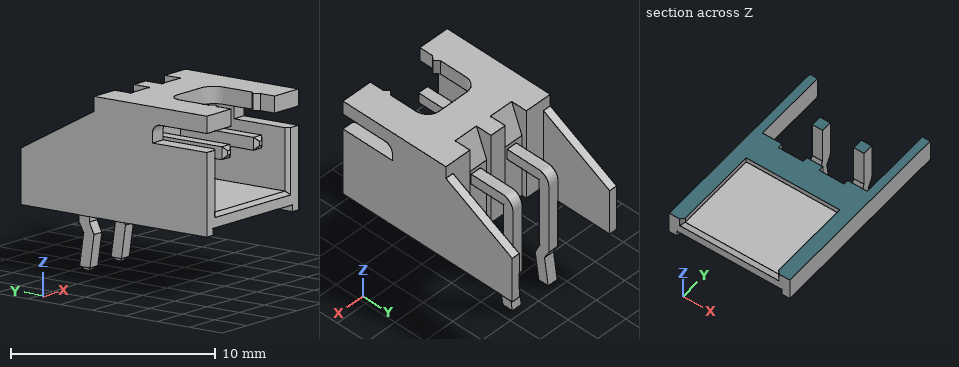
import cadquery as cq
import math


WIDTH = 7.4
HEIGHT = 6.1
BODY_DEPTH = 7.0
LOWER_BODY_DEPTH = 6.7
TOTAL_DEPTH = 11.5
FOOT_WIDTH = 0.5
FLOOR_Z = 0.35
WING_TOP_FRONT = 5.34
WING_TOP_BACK = 2.86

CAVITY_WIDTH = 5.7
CAVITY_FLOOR_Z = 1.08
CAVITY_ROOF_Z = 5.23
CAVITY_DEPTH = 5.18
LEAD_IN = 0.2

SLOT_DEPTH = 3.36
SLOT_BOTTOM_Z = 4.27
SLOT_RADIUS = 0.48

WINDOW_WIDTH = 3.5
WINDOW_DEPTH = 3.93
WINDOW_RADIUS = 0.8
NUB_Y = 1.14
NUB_HALF_LENGTH = 0.27
NUB_HEIGHT = 0.25

NOTCH_WIDTH = 1.5
NOTCH_PITCH = 2.5
NOTCH_FRONT_Y = 6.0
NOTCH_BACK_Z = 4.3

PIN_PITCH = 2.54
PIN_SIZE = 0.65
PIN_HALF = PIN_SIZE / 2
PIN_Z = 3.745
PIN_FRONT_Y = 0.49
PIN_BACK_Y = 9.53
BEND_RADIUS = 0.7
TIP_LENGTH = 0.2
TIP_SIZE = 0.23
KINK_START_BACK_Z = -0.96
KINK_START_FRONT_Z = -0.89
KINK_END_Z = -1.48
KINK_SHIFT = 0.29
LEG_END_Z = -3.2
LEG_END_SHIFT = 0.04


def block(x_range, y_range, z_range):
    """Axis-aligned box given by its limits."""
    lows = (x_range[0], y_range[0], z_range[0])
    sizes = [high - low for low, high in (x_range, y_range, z_range)]
    return cq.Workplane("XY").box(*sizes, centered=False).translate(lows)


def across(width):
    """Limits of a span of this width centred on X = 0."""
    return (-width / 2, width / 2)


def side_profile(points, width, center_x=0):
    """Extrude a closed (Y, Z) polygon along X."""
    sketch = cq.Workplane("YZ", origin=(center_x - width / 2, 0, 0)).polyline(points).close()
    return sketch.extrude(width)


def make_shell():
    outline = [
        (0, 0),
        (TOTAL_DEPTH, 0),
        (TOTAL_DEPTH, WING_TOP_BACK),
        (BODY_DEPTH, WING_TOP_FRONT),
        (BODY_DEPTH, HEIGHT),
        (0, HEIGHT),
    ]
    shell = side_profile(outline, WIDTH)
    between_feet = across(WIDTH - 2 * FOOT_WIDTH)
    shell = shell.cut(block(between_feet, (0, TOTAL_DEPTH), (0, FLOOR_Z)))
    return shell.cut(block(between_feet, (BODY_DEPTH, TOTAL_DEPTH), (0, HEIGHT)))


def make_cavity():
    """Mating cavity with a tapered lead-in on its sides and floor."""
    cavity = block(across(CAVITY_WIDTH), (0, CAVITY_DEPTH), (CAVITY_FLOOR_Z, CAVITY_ROOF_Z))
    middle_z = (CAVITY_FLOOR_Z + CAVITY_ROOF_Z) / 2
    cavity_height = CAVITY_ROOF_Z - CAVITY_FLOOR_Z
    flare = (
        cq.Workplane("XZ", origin=(0, 0, middle_z - LEAD_IN / 2))
        .rect(CAVITY_WIDTH + 2 * LEAD_IN, cavity_height + LEAD_IN)
        .workplane(offset=-LEAD_IN)
        .center(0, LEAD_IN / 2)
        .rect(CAVITY_WIDTH, cavity_height)
        .loft(ruled=True)
    )
    return cavity.union(flare)


def make_side_slots():
    slot = block(across(WIDTH), (0, SLOT_DEPTH), (SLOT_BOTTOM_Z, CAVITY_ROOF_Z))
    return slot.edges("|X and >Y and >Z").fillet(SLOT_RADIUS)


def make_window():
    """Opening in the roof with rounded rear corners and a pointed nub on each side."""
    window = block(across(WINDOW_WIDTH), (0, WINDOW_DEPTH), (CAVITY_ROOF_Z, HEIGHT))
    window = window.edges("|Z and >Y").fillet(WINDOW_RADIUS)
    for side in (-1, 1):
        edge_x = side * WINDOW_WIDTH / 2
        nub = (
            cq.Workplane("XY", origin=(0, 0, CAVITY_ROOF_Z))
            .moveTo(edge_x, NUB_Y - NUB_HALF_LENGTH)
            .lineTo(edge_x - side * NUB_HEIGHT, NUB_Y)
            .lineTo(edge_x, NUB_Y + NUB_HALF_LENGTH)
            .close()
            .extrude(HEIGHT - CAVITY_ROOF_Z)
        )
        window = window.cut(nub)
    return window


def make_notch(center_x):
    """Rear notch whose sloped front wall runs down to the rear of the lower body."""
    outline = [
        (NOTCH_FRONT_Y, HEIGHT),
        (LOWER_BODY_DEPTH, NOTCH_BACK_Z),
        (LOWER_BODY_DEPTH, FLOOR_Z),
        (BODY_DEPTH, FLOOR_Z),
        (BODY_DEPTH, HEIGHT),
    ]
    return side_profile(outline, NOTCH_WIDTH, center_x)


def taper(plane_name, origin, direction):
    """Pyramid tip that narrows from the pin section along the plane normal."""
    return (
        cq.Workplane(plane_name, origin=origin)
        .rect(PIN_SIZE, PIN_SIZE)
        .workplane(offset=direction * TIP_LENGTH)
        .rect(TIP_SIZE, TIP_SIZE)
        .loft(ruled=True)
    )


def make_pin(center_x):
    """Right-angle pin: contact, rounded bend and kinked solder leg."""
    leg_front = PIN_BACK_Y - PIN_SIZE
    shank_start = PIN_FRONT_Y + TIP_LENGTH
    top_z = PIN_Z + PIN_HALF
    arc_inset = BEND_RADIUS * (1 - math.sqrt(0.5))
    shape = (
        cq.Workplane("YZ", origin=(center_x - PIN_HALF, 0, 0))
        .moveTo(shank_start, PIN_Z - PIN_HALF)
        .lineTo(shank_start, top_z)
        .lineTo(PIN_BACK_Y - BEND_RADIUS, top_z)
        .threePointArc(
            (PIN_BACK_Y - arc_inset, top_z - arc_inset),
            (PIN_BACK_Y, top_z - BEND_RADIUS),
        )
        .lineTo(PIN_BACK_Y, KINK_START_BACK_Z)
        .lineTo(PIN_BACK_Y - KINK_SHIFT, KINK_END_Z)
        .lineTo(PIN_BACK_Y - LEG_END_SHIFT, LEG_END_Z)
        .lineTo(leg_front - LEG_END_SHIFT, LEG_END_Z)
        .lineTo(leg_front - KINK_SHIFT, KINK_END_Z)
        .lineTo(leg_front, KINK_START_FRONT_Z)
        .lineTo(leg_front, PIN_Z - PIN_HALF)
        .close()
        .extrude(PIN_SIZE)
    )
    leg_end_y = PIN_BACK_Y - PIN_HALF - LEG_END_SHIFT
    contact_tip = taper("XZ", (center_x, shank_start, PIN_Z), 1)
    leg_tip = taper("XY", (center_x, leg_end_y, LEG_END_Z), -1)
    return shape.union(contact_tip).union(leg_tip)


result = make_shell().cut(make_cavity()).cut(make_side_slots()).cut(make_window())
for side in (-1, 1):
    result = result.cut(make_notch(side * NOTCH_PITCH / 2))
for side in (-1, 1):
    result = result.union(make_pin(side * PIN_PITCH / 2))